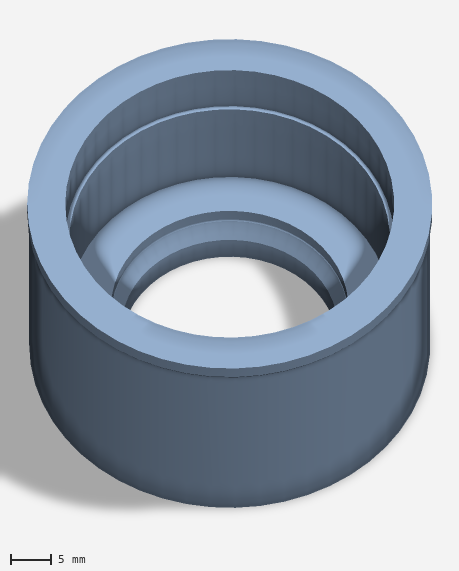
import cadquery as cq
import math

collar_radius = 50.5 / 2
body_radius = 50.0 / 2
mouth_radius = 41.0 / 2
cavity_radius = 40.0 / 2
lip_radius = 29.6 / 2
bore_radius = 27.0 / 2
groove_depth = 1.0
groove_radius = lip_radius + groove_depth

cone_angle = math.radians(30)

total_height = 30.2
collar_height = 1.83
collar_edge_height = total_height - collar_height
collar_base_height = collar_edge_height - (collar_radius - body_radius) / math.tan(cone_angle)
step_height = 22.5
floor_height = 8.0
lip_base_height = 6.2
groove_width = 0.35
groove_base_height = lip_base_height - groove_width
seat_base_height = groove_base_height - (lip_radius - bore_radius) / math.tan(cone_angle)


def wall_outline():
    """Radius and height of each corner of the ring wall, starting at the bottom of the bore."""
    return [
        (bore_radius, 0),
        (body_radius, 0),
        (body_radius, collar_base_height),
        (collar_radius, collar_edge_height),
        (collar_radius, total_height),
        (mouth_radius, total_height),
        (mouth_radius, step_height),
        (cavity_radius, step_height),
        (cavity_radius, floor_height),
        (lip_radius, floor_height),
        (lip_radius, lip_base_height),
        (groove_radius, lip_base_height),
        (groove_radius, groove_base_height),
        (lip_radius, groove_base_height),
        (bore_radius, seat_base_height),
    ]


result = cq.Workplane("XZ").polyline(wall_outline()).close().revolve(360, (0, 0), (0, 1))